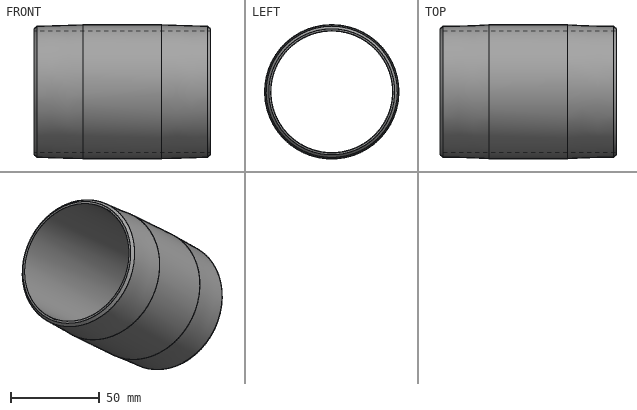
import cadquery as cq

length = 100.0
body_diameter = 76.1
bore_diameter = 68.9
shoulder_height = 0.1
end_length = 27.9
taper_ratio = 1 / 16
chamfer_length = 1.8
face_diameter = 71.3

half_length = length / 2
body_radius = body_diameter / 2
bore_radius = bore_diameter / 2
face_radius = face_diameter / 2
taper_start = half_length - end_length
taper_end = half_length - chamfer_length
taper_start_radius = body_radius - shoulder_height
taper_end_radius = taper_start_radius - (taper_end - taper_start) * taper_ratio / 2

end_profile = [
    (taper_start, body_radius),
    (taper_start, taper_start_radius),
    (taper_end, taper_end_radius),
    (half_length, face_radius),
    (half_length, bore_radius),
]
mirrored_profile = [(-x, radius) for x, radius in reversed(end_profile)]

result = (
    cq.Workplane("XZ")
    .polyline(end_profile + mirrored_profile)
    .close()
    .revolve(360, (0, 0, 0), (1, 0, 0))
)